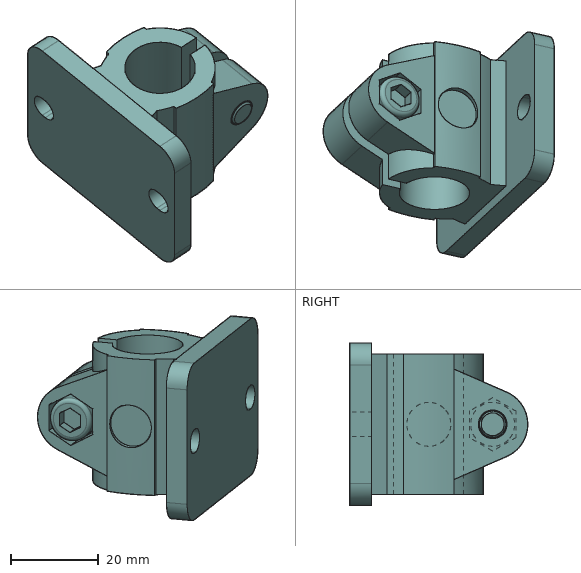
import cadquery as cq
import math

PLATE_WIDTH = 50
PLATE_HEIGHT = 37
PLATE_THICKNESS = 5
CORNER_RADIUS = 5
SLOT_LENGTH = 6.5
SLOT_WIDTH = 5.5
SLOT_SPACING = 39

COLLAR_Y = 18
COLLAR_HEIGHT = 32
COLLAR_RADIUS = 12.5
BORE_DIAMETER = 16
GAP = 3
CHEEK_HALF_DEPTH = 5.75
CHEEK_EDGE_X = 11.85
CHEEK_CROWN_X = 12.55
WAIST_X = 9.5
WAIST_Y = 8.5
WAIST_CURVE_X = 10.4
WAIST_CURVE_Y = 10.4
FOOT_X = 10.5

RECESS_DIAMETER = 10
RECESS_FLOOR_X = 11.25

LUG_Y = 32.5
LUG_RADIUS = 8
LUG_OUTER_X = 11.6
LUG_ROOT_Y = COLLAR_Y + CHEEK_HALF_DEPTH

SCREW_DIAMETER = 6
SCREW_HOLE_DIAMETER = 6.5
HEAD_DIAMETER = 10
HEAD_HEIGHT = 6
HEAD_ROUND = 1
SOCKET_FLATS = 5
SOCKET_DEPTH = 3
SCREW_PROTRUSION = 0.5
TIP_CHAMFER = 0.4
POCKET_FLATS = 10.5
SEAT_X = -LUG_OUTER_X - SCREW_PROTRUSION + HEAD_HEIGHT


def make_plate():
    plate = (
        cq.Workplane("XY")
        .box(PLATE_WIDTH, PLATE_THICKNESS, PLATE_HEIGHT, centered=(True, False, True))
        .edges("|Y")
        .fillet(CORNER_RADIUS)
    )
    slots = (
        cq.Workplane("XZ")
        .pushPoints([(-SLOT_SPACING / 2, 0), (SLOT_SPACING / 2, 0)])
        .slot2D(SLOT_LENGTH, SLOT_WIDTH)
        .extrude(-PLATE_THICKNESS)
    )
    return plate.cut(slots)


def extrude_collar(sketch):
    return sketch.extrude(COLLAR_HEIGHT / 2, both=True)


def make_collar():
    rear_y = COLLAR_Y + CHEEK_HALF_DEPTH
    front_y = COLLAR_Y - CHEEK_HALF_DEPTH
    shoulder_x = math.sqrt(COLLAR_RADIUS**2 - CHEEK_HALF_DEPTH**2)
    outline = (
        cq.Workplane("XY")
        .moveTo(-FOOT_X, PLATE_THICKNESS)
        .lineTo(FOOT_X, PLATE_THICKNESS)
        .lineTo(WAIST_X, WAIST_Y)
        .threePointArc((WAIST_CURVE_X, WAIST_CURVE_Y), (shoulder_x, front_y))
        .lineTo(CHEEK_EDGE_X, front_y)
        .threePointArc((CHEEK_CROWN_X, COLLAR_Y), (CHEEK_EDGE_X, rear_y))
        .lineTo(shoulder_x, rear_y)
        .threePointArc((0, COLLAR_Y + COLLAR_RADIUS), (-shoulder_x, rear_y))
        .lineTo(-CHEEK_EDGE_X, rear_y)
        .threePointArc((-CHEEK_CROWN_X, COLLAR_Y), (-CHEEK_EDGE_X, front_y))
        .lineTo(-shoulder_x, front_y)
        .threePointArc((-WAIST_CURVE_X, WAIST_CURVE_Y), (-WAIST_X, WAIST_Y))
        .close()
    )
    return extrude_collar(outline)


def make_lugs():
    flank_lean = math.radians(23.5)
    tangent_y = LUG_Y + LUG_RADIUS * math.sin(flank_lean)
    tangent_z = LUG_RADIUS * math.cos(flank_lean)
    root_z = tangent_z + (tangent_y - LUG_ROOT_Y) * math.tan(flank_lean)
    return (
        cq.Workplane("YZ")
        .moveTo(COLLAR_Y, -root_z)
        .lineTo(LUG_ROOT_Y, -root_z)
        .lineTo(tangent_y, -tangent_z)
        .threePointArc((LUG_Y + LUG_RADIUS, 0), (tangent_y, tangent_z))
        .lineTo(LUG_ROOT_Y, root_z)
        .lineTo(COLLAR_Y, root_z)
        .close()
        .extrude(LUG_OUTER_X, both=True)
    )


def screw_plane(x):
    return cq.Workplane("YZ", origin=(x, LUG_Y, 0))


def hexagon(x, flats, length):
    """Hexagonal prism along +X with two corners pointing along Z."""
    corner_diameter = flats / math.cos(math.pi / 6)
    return screw_plane(x).transformed(rotate=(0, 0, 90)).polygon(6, corner_diameter).extrude(length)


def make_screw():
    head_x = SEAT_X - HEAD_HEIGHT
    tip_x = LUG_OUTER_X + SCREW_PROTRUSION
    head = screw_plane(head_x).circle(HEAD_DIAMETER / 2).extrude(HEAD_HEIGHT)
    head = head.faces("<X").edges().fillet(HEAD_ROUND)
    shank = screw_plane(SEAT_X).circle(SCREW_DIAMETER / 2).extrude(tip_x - SEAT_X)
    shank = shank.faces(">X").edges().chamfer(TIP_CHAMFER)
    return head.union(shank).cut(hexagon(head_x, SOCKET_FLATS, SOCKET_DEPTH))


clamp = make_collar().union(make_lugs())
bore = extrude_collar(cq.Workplane("XY").center(0, COLLAR_Y).circle(BORE_DIAMETER / 2))
gap_length = LUG_Y + LUG_RADIUS - COLLAR_Y
gap = extrude_collar(cq.Workplane("XY").center(0, COLLAR_Y + gap_length / 2).rect(GAP, gap_length))
clamp = clamp.cut(bore).cut(gap)

recess = (
    cq.Workplane("YZ", origin=(-RECESS_FLOOR_X, COLLAR_Y, 0))
    .circle(RECESS_DIAMETER / 2)
    .extrude(-COLLAR_RADIUS)
)
clamp = clamp.cut(recess)

screw_hole = screw_plane(-LUG_OUTER_X).circle(SCREW_HOLE_DIAMETER / 2).extrude(2 * LUG_OUTER_X)
head_pocket = hexagon(-LUG_OUTER_X, POCKET_FLATS, SEAT_X + LUG_OUTER_X)
clamp = clamp.cut(screw_hole).cut(head_pocket)

result = make_plate().union(clamp).union(make_screw())